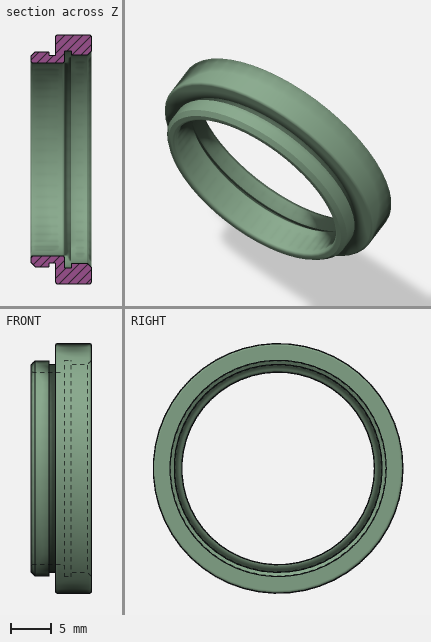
import cadquery as cq

total_length = 7.4
edge_rounding = 0.3

flange_length = 4.42
flange_diameter = 30.5

spigot_diameter = 26.3
spigot_chamfer = 0.52
relief_diameter = 25.4
relief_width = 0.75

bore_diameter = 23.5
recess_depth = 3.3
recess_land_diameter = relief_diameter
undercut_diameter = 26.4
undercut_width = 0.8

flange_start = total_length - flange_length
relief_start = flange_start - relief_width
recess_floor = total_length - recess_depth
undercut_end = recess_floor + undercut_width

flange_radius = flange_diameter / 2
spigot_radius = spigot_diameter / 2
relief_radius = relief_diameter / 2
bore_radius = bore_diameter / 2
land_radius = recess_land_diameter / 2
undercut_radius = undercut_diameter / 2

mouth_chamfer = undercut_radius - land_radius


def rounded_corner(profile, step_x, step_radius):
    """Add a quarter round that leaves the last line smoothly."""
    return profile.tangentArcPoint((step_x, step_radius), relative=True)


def spigot_outline(profile):
    """Outside of the spigot, from its end face to the flange face."""
    return (
        profile.lineTo(0, spigot_radius - spigot_chamfer)
        .lineTo(spigot_chamfer, spigot_radius)
        .lineTo(relief_start, spigot_radius)
        .lineTo(relief_start, relief_radius)
        .lineTo(flange_start, relief_radius)
    )


def flange_outline(profile):
    """Front face, rim and back face of the flange, with both rim edges rounded."""
    profile = profile.lineTo(flange_start, flange_radius - edge_rounding)
    profile = rounded_corner(profile, edge_rounding, edge_rounding)
    profile = profile.lineTo(total_length - edge_rounding, flange_radius)
    profile = rounded_corner(profile, edge_rounding, -edge_rounding)
    return profile.lineTo(total_length, land_radius + mouth_chamfer)


def recess_outline(profile):
    """Recess from its mouth to its floor."""
    return (
        profile.lineTo(total_length - mouth_chamfer, land_radius)
        .lineTo(undercut_end, land_radius)
        .lineTo(undercut_end, undercut_radius)
        .lineTo(recess_floor, undercut_radius)
    )


def bore_outline(profile):
    """Bore from the recess floor back to the spigot end face, rounded at both ends."""
    profile = profile.lineTo(recess_floor, bore_radius + edge_rounding)
    profile = rounded_corner(profile, -edge_rounding, -edge_rounding)
    profile = profile.lineTo(edge_rounding, bore_radius)
    return rounded_corner(profile, -edge_rounding, edge_rounding)


section = cq.Workplane("XY").moveTo(0, bore_radius + edge_rounding)
section = spigot_outline(section)
section = flange_outline(section)
section = recess_outline(section)
section = bore_outline(section).close()

result = section.revolve(360, (0, 0, 0), (1, 0, 0))